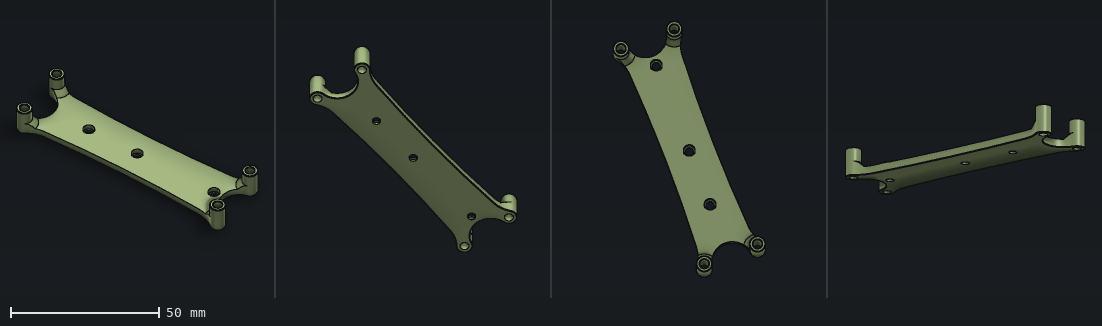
import cadquery as cq
import math

length = 84.8
width = 24.8
height = 10.0
plate_thickness = 3.0
edge_chamfer = 0.25

post_diameter = 5.5
post_radius = post_diameter / 2
post_bore_diameter = 3.0
post_x = length / 2 - post_radius
post_y = width / 2 - post_radius
ramp_rise = 2.0

waist_half_width = 8.6
side_radius = 551.4
neck_radius = 11.0
left_recess_x = 34.1
right_recess_x = 34.8

screw_hole_xs = (-19.85, 0.0, 31.5)
screw_hole_diameter = 2.7
counterbore_diameter = 4.0
counterbore_depth = 2.0


def point_towards(start, target, distance):
    """Point at a given distance from start, on the line to target."""
    ratio = distance / math.dist(start, target)
    return tuple(s + (t - s) * ratio for s, t in zip(start, target))


def neck_center(post, side):
    """Centre of the arc tangent to the post (outside) and to the side arc (inside)."""
    post_reach = post_radius + neck_radius
    side_reach = side_radius - neck_radius
    spacing = math.dist(post, side)
    along = (post_reach**2 - side_reach**2 + spacing**2) / (2 * spacing)
    across = math.sqrt(post_reach**2 - along**2)
    ux = (side[0] - post[0]) / spacing
    uy = (side[1] - post[1]) / spacing
    return (post[0] + along * ux - across * uy, post[1] + along * uy + across * ux)


def recess_tangent(recess_x):
    """Point on the +X, +Y post where the end recess through recess_x meets it."""
    inset = post_x - recess_x
    recess_radius = (inset**2 + post_y**2 - post_radius**2) / (2 * (inset + post_radius))
    return point_towards((post_x, post_y), (recess_x + recess_radius, 0), post_radius)


def make_outline():
    """Plate outline: tangent arcs, with its corners running in to the post centres."""
    post = (post_x, post_y)
    side = (0.0, waist_half_width + side_radius)
    neck = neck_center(post, side)
    side_end = point_towards(side, neck, side_radius)
    neck_end = point_towards(post, neck, post_radius)
    neck_foot = ((side_end[0] + neck_end[0]) / 2, (side_end[1] + neck_end[1]) / 2)
    neck_mid = point_towards(neck, neck_foot, neck_radius)

    def mirrored(point, x_sign, y_sign):
        return (x_sign * point[0], y_sign * point[1])

    outline = cq.Workplane("XY").moveTo(*mirrored(side_end, -1, 1))
    for sign, recess_x in ((1, right_recess_x), (-1, left_recess_x)):
        recess_end = recess_tangent(recess_x)
        outline = (
            outline.threePointArc((0, sign * waist_half_width), mirrored(side_end, sign, sign))
            .threePointArc(mirrored(neck_mid, sign, sign), mirrored(neck_end, sign, sign))
            .lineTo(*mirrored((post_x, post_y), sign, sign))
            .lineTo(*mirrored(recess_end, sign, sign))
            .threePointArc((sign * recess_x, 0), mirrored(recess_end, sign, -sign))
            .lineTo(*mirrored((post_x, post_y), sign, -sign))
            .lineTo(*mirrored(neck_end, sign, -sign))
            .threePointArc(mirrored(neck_mid, sign, -sign), mirrored(side_end, sign, -sign))
        )
    return outline.close()


def make_ramp():
    """Pointed 45 degree cone; only the part outside the post stays visible."""
    ramp_radius = post_radius + ramp_rise
    cone = cq.Solid.makeCone(ramp_radius, 0, ramp_radius)
    return cq.Workplane(cone.translate(cq.Vector(0, 0, plate_thickness)))


def make_post():
    """Solid post, chamfered at both ends."""
    return cq.Workplane("XY").circle(post_radius).extrude(height).edges().chamfer(edge_chamfer)


post_centers = [(x, y) for x in (-post_x, post_x) for y in (-post_y, post_y)]

body = make_outline().extrude(plate_thickness).faces("<Z").chamfer(edge_chamfer)

ramp_limit = make_outline().extrude(height)
for x, y in post_centers:
    ramp = make_ramp().translate((x, y, 0)).intersect(ramp_limit)
    body = body.union(ramp).union(make_post().translate((x, y, 0)))

body = (
    body.copyWorkplane(cq.Workplane("XY", origin=(0, 0, height)))
    .pushPoints(post_centers)
    .cskHole(post_bore_diameter, post_bore_diameter + 2 * edge_chamfer, 90)
)

result = (
    body.copyWorkplane(cq.Workplane("XY", origin=(0, 0, plate_thickness)))
    .pushPoints([(x, 0) for x in screw_hole_xs])
    .cboreHole(screw_hole_diameter, counterbore_diameter, counterbore_depth)
)